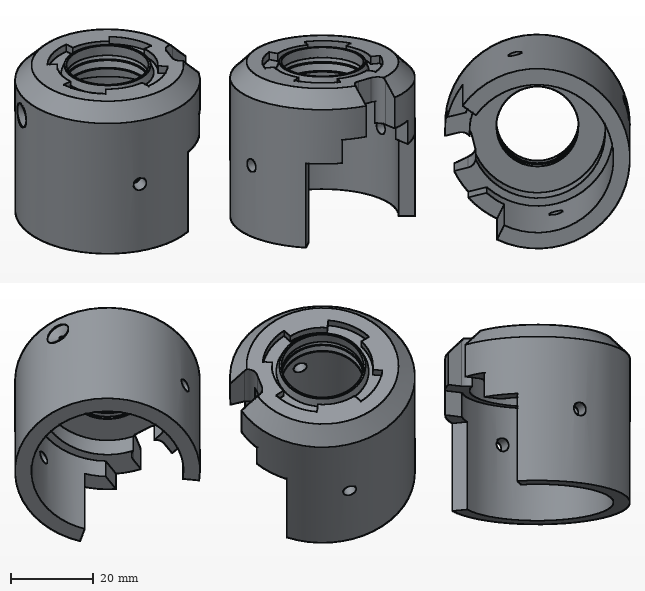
import cadquery as cq
import math

body_radius = 22.5
body_height = 40.0
top_chamfer = 4.0

bore_radius = 10.0
lip_top_radius = 10.5
lip_base_radius = 11.25
ring_radius = 12.3
pocket_radius = 14.62
pocket_depth = 2.0
pocket_count = 4
pocket_angle = 45.0

groove_slope = 0.5
upper_groove_top = 2.65
upper_groove_bottom = 3.7
lower_groove_top = 4.05
lower_groove_bottom = 6.05

upper_cavity_radius = 16.5
upper_cavity_top = 6.35
lower_cavity_radius = 18.5
lower_cavity_top = 12.0

notch_width = 9.0
notch_floor_y = 16.0
notch_corner_radius = 2.5
window_width = 20.7
window_top = lower_cavity_top
sector_angle = 100.0
sector_top = 18.1

cross_hole_diameter = 3.3
cross_hole_depth = 21.5
pinhole_radius = 0.6
cone_radius = 3.0
cone_length = 1.4
rim_depth = 0.25
pinhole_depth = 9.6

cut_reach = 2 * body_radius


def revolve_profile(points):
    """Revolve (radius, depth below the top face) points about Z."""
    profile = [(radius, -depth) for radius, depth in points]
    return cq.Workplane("XZ").polyline(profile).close().revolve(360, (0, 0), (0, 1))


def sector(radius, angle, centre_angle, top_depth, height):
    """Wedge of a cylinder, going down from the given depth."""
    start = math.radians(centre_angle - angle / 2)
    middle = math.radians(centre_angle)
    end = math.radians(centre_angle + angle / 2)
    arc = [(radius * math.cos(a), radius * math.sin(a)) for a in (start, middle, end)]
    outline = cq.Workplane("XY", origin=(0, 0, -top_depth)).lineTo(*arc[0])
    return outline.threePointArc(arc[1], arc[2]).close().extrude(-height)


def make_body():
    """Chamfered sleeve with the grooved bore and the stepped cavity."""
    upper_groove_radius = bore_radius + groove_slope * (upper_groove_bottom - upper_groove_top)
    lower_groove_radius = bore_radius + groove_slope * (lower_groove_bottom - lower_groove_top)
    return revolve_profile([
        (bore_radius, 0),
        (body_radius - top_chamfer, 0),
        (body_radius, top_chamfer),
        (body_radius, body_height),
        (lower_cavity_radius, body_height),
        (lower_cavity_radius, lower_cavity_top),
        (upper_cavity_radius, lower_cavity_top),
        (upper_cavity_radius, upper_cavity_top),
        (bore_radius, upper_cavity_top),
        (bore_radius, lower_groove_bottom),
        (lower_groove_radius, lower_groove_top),
        (bore_radius, lower_groove_top),
        (bore_radius, upper_groove_bottom),
        (upper_groove_radius, upper_groove_top),
        (bore_radius, upper_groove_top),
    ])


def make_bayonet_recess():
    """Ring groove around the tapered lip, joined by the bayonet pockets."""
    recess = revolve_profile([
        (lip_top_radius, 0),
        (ring_radius, 0),
        (ring_radius, pocket_depth),
        (lip_base_radius, pocket_depth),
    ])
    core = cq.Workplane("XY").circle(lip_base_radius).extrude(-pocket_depth)
    pitch = 360 / pocket_count
    for index in range(pocket_count):
        centre_angle = (index + 0.5) * pitch
        pocket = sector(pocket_radius, pocket_angle, centre_angle, 0, pocket_depth)
        recess = recess.union(pocket.cut(core))
    return recess


def slot_toward_back(width, start_y, top_depth):
    """Straight slot from start_y out past the +Y side, down through the bottom."""
    slot = cq.Workplane("XY", origin=(0, start_y, -top_depth))
    return slot.rect(width, cut_reach).extrude(-body_height).translate((0, cut_reach / 2, 0))


def make_back_openings():
    """Rounded notch, wider window and angular opening, one below the other."""
    notch = slot_toward_back(notch_width, notch_floor_y, 0)
    notch = notch.edges("|Z and <Y").fillet(notch_corner_radius)
    window = slot_toward_back(window_width, 0, window_top)
    opening = sector(cut_reach, sector_angle, 90, sector_top, body_height)
    return notch.union(window).union(opening)


def make_cross_hole():
    """Hole along X through both side walls."""
    plane = cq.Workplane("YZ", origin=(0, 0, -cross_hole_depth))
    return plane.circle(cross_hole_diameter / 2).extrude(cut_reach, both=True)


def make_countersunk_pinhole():
    """Pinhole through the -Y wall with a conical countersink."""
    direction = cq.Vector(0, 1, 0)
    mouth = cq.Vector(0, -body_radius, -pinhole_depth)
    cone_base = mouth + direction * rim_depth
    cone = cq.Solid.makeCone(cone_radius, pinhole_radius, cone_length, cone_base, direction)
    rim = cq.Solid.makeCylinder(cone_radius, rim_depth, mouth, direction)
    pin = cq.Solid.makeCylinder(pinhole_radius, body_radius, mouth, direction)
    return cq.Workplane(cone).union(cq.Workplane(rim)).union(cq.Workplane(pin))


result = make_body().cut(make_bayonet_recess())
result = result.cut(make_back_openings())
result = result.cut(make_cross_hole())
result = result.cut(make_countersunk_pinhole())